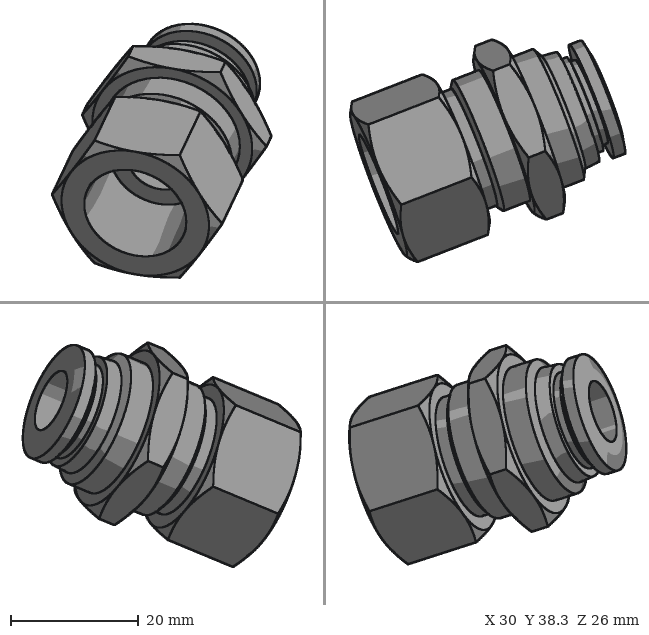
import cadquery as cq
import math

total_length = 38.3

port_hex_flats = 24.0
port_hex_length = 13.98
lock_nut_flats = 26.0
lock_nut_start = 21.15
lock_nut_end = 26.27
hex_chamfer_angle = 30.0

neck_radius = 9.8
body_radius = 11.0
body_start = 16.05
body_chamfer_radius = 9.95
body_chamfer_length = 0.73
body_end = 30.25
shoulder_end = 31.1
shoulder_radius = 9.45
taper_end = 33.55
taper_radius = 9.23
ring_end = 34.75
ring_radius = 7.9

stem_radius = 7.0
collar_start = 35.85
collar_radius = 9.55
collar_face_radius = 7.2
collar_chamfer_length = 0.5

port_mouth_radius = 8.3
port_depth = 13.4
port_taper = 1 / 16
tube_bore_radius = 4.98


def revolve_profile(points):
    """Revolve (radius, y) points, closed along the axis, around Y."""
    return cq.Workplane("XY").polyline(points).close().revolve(360, (0, 0, 0), (0, 1, 0))


def chamfered_hexagon(flats, start, end):
    """Hexagonal prism along Y, corners at +/-X, with conical chamfers on both ends."""
    corner_radius = flats / math.sqrt(3)
    flat_radius = flats / 2
    drop = (corner_radius - flat_radius) * math.tan(math.radians(hex_chamfer_angle))
    prism = (
        cq.Workplane("XZ", origin=(0, start, 0))
        .polygon(6, 2 * corner_radius)
        .extrude(start - end)
    )
    envelope = revolve_profile([
        (0, start),
        (flat_radius, start),
        (corner_radius, start + drop),
        (corner_radius, end - drop),
        (flat_radius, end),
        (0, end),
    ])
    return prism.intersect(envelope)


def turned_body():
    """Stepped round body running from the port hexagon to the release collar."""
    return revolve_profile([
        (0, 0),
        (neck_radius, 0),
        (neck_radius, body_start),
        (body_chamfer_radius, body_start),
        (body_radius, body_start + body_chamfer_length),
        (body_radius, body_end),
        (shoulder_radius, shoulder_end),
        (taper_radius, taper_end),
        (ring_radius, taper_end),
        (ring_radius, ring_end),
        (stem_radius, ring_end),
        (stem_radius, collar_start),
        (collar_radius, collar_start),
        (collar_radius, total_length - collar_chamfer_length),
        (collar_face_radius, total_length),
        (0, total_length),
    ])


def bores():
    """Tapered port followed by the straight tube bore."""
    port_floor_radius = port_mouth_radius - port_depth * port_taper / 2
    return revolve_profile([
        (0, 0),
        (port_mouth_radius, 0),
        (port_floor_radius, port_depth),
        (tube_bore_radius, port_depth),
        (tube_bore_radius, total_length),
        (0, total_length),
    ])


port_hex = chamfered_hexagon(port_hex_flats, 0, port_hex_length)
lock_nut = chamfered_hexagon(lock_nut_flats, lock_nut_start, lock_nut_end)

result = turned_body().union(port_hex).union(lock_nut).cut(bores())